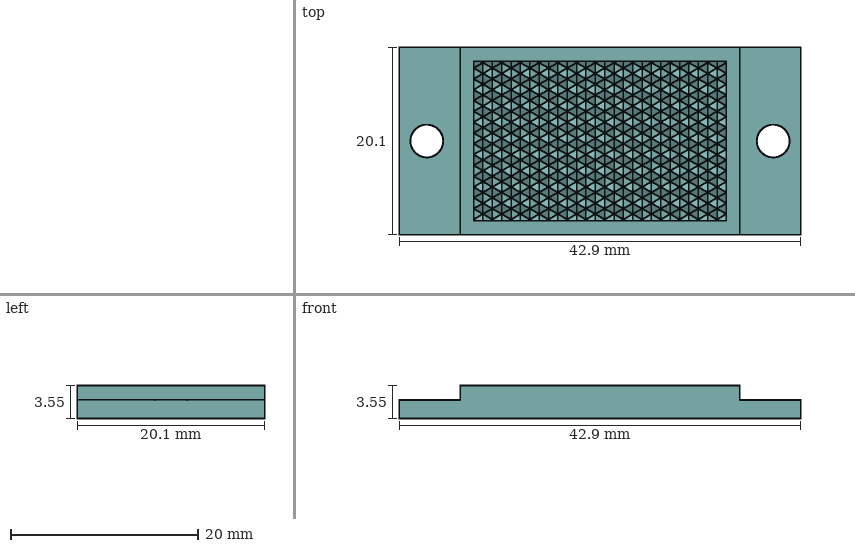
import cadquery as cq
import math

length = 42.9
width = 20.05
height = 3.55
flange_thickness = 2.0
block_length = 29.85

hole_diameter = 3.47
hole_spacing = 37.0

pocket_length = 27.0
pocket_width = 17.05
pocket_depth = 0.035
cells_across = 13.5
facet_slope = 20
cell_sides = 6
row_count = 12
row_cells = 15

cell_width = pocket_length / cells_across
pit_depth = cell_width / 2 * math.tan(math.radians(facet_slope))
cell_radius = cell_width / math.sqrt(3)
row_pitch = 1.5 * cell_radius
pocket_floor = height - pocket_depth


def make_body():
    """Flat plate with a raised central block across its full width."""
    plate = cq.Workplane("XY").box(length, width, flange_thickness, centered=(True, True, False))
    block = cq.Workplane("XY").box(block_length, width, height, centered=(True, True, False))
    return plate.union(block)


def make_pit(center_x, center_y):
    """Six-sided pyramid, point down, with its hexagonal base on the pocket floor."""
    corners = []
    for i in range(cell_sides):
        angle = (i + 0.5) * 2 * math.pi / cell_sides
        x = center_x + cell_radius * math.cos(angle)
        y = center_y + cell_radius * math.sin(angle)
        corners.append(cq.Vector(x, y, pocket_floor))
    apex = cq.Vector(center_x, center_y, pocket_floor - pit_depth)
    faces = [cq.Face.makeFromWires(cq.Wire.makePolygon(corners, close=True))]
    for i in range(cell_sides):
        side = [corners[i - 1], corners[i], apex]
        faces.append(cq.Face.makeFromWires(cq.Wire.makePolygon(side, close=True)))
    return cq.Solid.makeSolid(cq.Shell.makeShell(faces))


def pit_centers():
    """Staggered rows, alternately shifted a quarter cell right and left of centre."""
    for row in range(row_count):
        y = (row - (row_count - 1) / 2) * row_pitch
        shift = -cell_width / 4 if row % 2 else cell_width / 4
        for cell in range(row_cells):
            x = (cell - (row_cells - 1) / 2) * cell_width + shift
            yield x, y


def make_pits():
    """All pits, trimmed to the rectangular pocket outline."""
    outline_block = (
        cq.Workplane("XY")
        .box(pocket_length, pocket_width, height, centered=(True, True, False))
        .val()
    )
    trimmed = []
    for x, y in pit_centers():
        piece = make_pit(x, y).intersect(outline_block)
        trimmed.extend(piece.Solids())
    return trimmed


def make_pocket():
    """Shallow rectangular recess that sets the pits below the rim."""
    return (
        cq.Workplane("XY")
        .workplane(offset=pocket_floor)
        .rect(pocket_length, pocket_width)
        .extrude(pocket_depth)
    )


def make_holes():
    """Through holes, one in the middle of each end flange."""
    return (
        cq.Workplane("XY")
        .pushPoints([(-hole_spacing / 2, 0), (hole_spacing / 2, 0)])
        .circle(hole_diameter / 2)
        .extrude(height)
    )


drilled_body = make_body().cut(make_holes()).cut(make_pocket()).val()
finished_part = drilled_body.cut(*make_pits()).Solids()[0]
result = cq.Workplane("XY").newObject([finished_part])